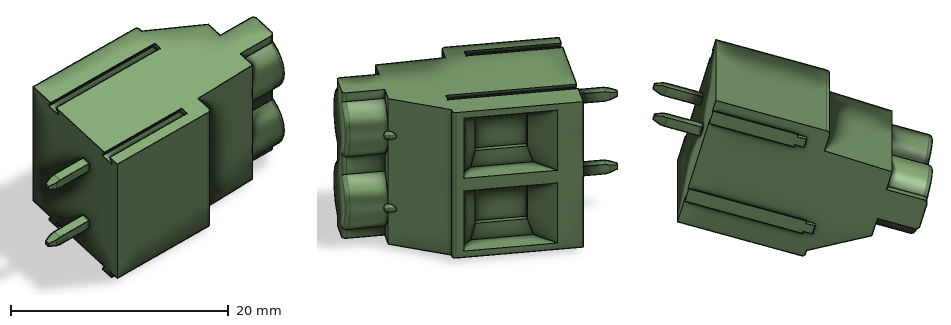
import cadquery as cq


pitch = 7.62
pole_count = 2
height = pole_count * pitch
pole_centers = [(pole + 0.5) * pitch for pole in range(pole_count)]
depth = 12.5
total_length = 26.1
pin_length = 4.6
housing_length = total_length - pin_length

front_step_y = 12.2
front_step_width = 0.63
back_step_y = 11.0
back_step_x = 10.55
shoulder_y = 17.55
shoulder_front_x = 3.73
shoulder_back_x = 10.3
front_corner_radius = 0.31
back_corner_radius = 0.4

collar_x = 7.0
collar_diameter = 6.5
rib_width = 2.98
top_radius = 0.4
bump_radius = 0.42

entry_low_y = 2.4
entry_high_y = 11.15
entry_height = 6.3
throat_low_y = 4.78
throat_high_y = 9.65
throat_height = 3.45
entry_rim_depth = 1.0
entry_taper_depth = 2.0
throat_depth = 2.5
entry_depth = 3.0

pin_x = 7.9
pin_width_x = 0.9
pin_width_z = 1.0
pin_tip_width = 0.42
pin_taper_length_x = 0.73
pin_taper_length_z = 1.17

dovetails = [(3.0, front_step_y), (11.0, 9.03)]
dovetail_neck = 0.8
dovetail_flare_height = 0.45
rail_width = 1.3
rail_height = 0.6
groove_width = 1.33
groove_depth = 0.65
rail_neck_length = 0.9


def make_housing():
    outline = [
        (0, 0),
        (depth, 0),
        (depth, back_step_y),
        (back_step_x, back_step_y),
        (shoulder_back_x, shoulder_y),
        (shoulder_front_x, shoulder_y),
        (front_step_width, front_step_y),
        (0, front_step_y),
    ]
    body = cq.Workplane("XY").polyline(outline).close().extrude(height)
    rounded_corners = [
        ((0, front_step_y), front_corner_radius),
        ((depth, back_step_y), back_corner_radius),
    ]
    for (x, y), radius in rounded_corners:
        corner_edge = cq.selectors.NearestToPointSelector((x, y, height / 2))
        body = body.edges(corner_edge).fillet(radius)
    return body


def make_rib():
    """Rib over the full height, with rounded outer edges."""
    rib_length = housing_length - shoulder_y
    rib = cq.Workplane("XY").box(rib_width, rib_length, height, centered=(True, False, False))
    rib = rib.edges("|Z and >Y").fillet(top_radius)
    return rib.translate((collar_x, shoulder_y, 0))


def cylinder_along_y(x, start_y, z, radius, length):
    start = cq.Workplane("XZ", origin=(x, start_y, z))
    return start.circle(radius).extrude(-length)


def make_collar(z):
    collar_length = housing_length - shoulder_y
    collar = cylinder_along_y(collar_x, shoulder_y, z, collar_diameter / 2, collar_length)
    return collar.faces(">Y").edges().fillet(top_radius)


def make_bump(z):
    """Round-ended stud on the edge between the shoulder and the slope."""
    stud = cylinder_along_y(shoulder_front_x, front_step_y, z, bump_radius, shoulder_y - front_step_y)
    dome = cq.Workplane("XY").sphere(bump_radius).translate((shoulder_front_x, shoulder_y, z))
    return stud.union(dome)


def make_entry(z):
    """Wire entry cavity: the depth profile along Y crossed with the one along Z."""
    side_profile = [
        (0, entry_low_y),
        (throat_depth, throat_low_y),
        (entry_depth, throat_low_y),
        (entry_depth, throat_high_y),
        (throat_depth, throat_high_y),
        (entry_rim_depth, entry_high_y),
        (0, entry_high_y),
    ]
    half_profile = [
        (0, entry_height / 2),
        (entry_taper_depth, entry_height / 2),
        (throat_depth, throat_height / 2),
        (entry_depth, throat_height / 2),
    ]
    height_profile = half_profile + [(x, -half) for x, half in reversed(half_profile)]
    along_y = cq.Workplane("XY").polyline(side_profile).close().extrude(entry_height)
    along_z = cq.Workplane("XZ").polyline(height_profile).close().extrude(-entry_high_y)
    return along_y.translate((0, 0, z - entry_height / 2)).intersect(along_z.translate((0, 0, z)))


def pin_profile(plane, width, taper_length, thickness):
    points = [
        (-width / 2, 0),
        (width / 2, 0),
        (width / 2, taper_length - pin_length),
        (pin_tip_width / 2, -pin_length),
        (-pin_tip_width / 2, -pin_length),
        (-width / 2, taper_length - pin_length),
    ]
    return cq.Workplane(plane).polyline(points).close().extrude(thickness / 2, both=True)


def make_pin(z):
    across_z = cq.Plane(origin=(0, 0, 0), xDir=(0, 0, 1), normal=(-1, 0, 0))
    taper_x = pin_profile("XY", pin_width_x, pin_taper_length_x, pin_width_z)
    taper_z = pin_profile(across_z, pin_width_z, pin_taper_length_z, pin_width_x)
    return taper_x.intersect(taper_z).translate((pin_x, 0, z))


def make_dovetail(x, top_z, width, total_height, length):
    """Dovetail bar hanging from top_z, running from the pin face toward +Y."""
    points = [
        (-dovetail_neck / 2, 0),
        (dovetail_neck / 2, 0),
        (width / 2, -dovetail_flare_height),
        (width / 2, -total_height),
        (-width / 2, -total_height),
        (-width / 2, -dovetail_flare_height),
    ]
    bar = cq.Workplane("XZ").polyline(points).close().extrude(-length)
    return bar.translate((x, 0, top_z))


def make_rail(x, length):
    """Dovetail rail whose far end is narrowed to the neck width."""
    dovetail = make_dovetail(x, 0, rail_width, rail_height, length - rail_neck_length)
    neck = cq.Workplane("XY").box(dovetail_neck, length, rail_height, centered=(True, False, False))
    return dovetail.union(neck.translate((x, 0, -rail_height)))


result = make_housing().union(make_rib())

for center_z in pole_centers:
    result = result.union(make_collar(center_z))
    result = result.union(make_bump(center_z))
    result = result.union(make_pin(center_z))
    result = result.cut(make_entry(center_z))

for center_x, length in dovetails:
    result = result.cut(make_dovetail(center_x, height, groove_width, groove_depth, length))
    result = result.union(make_rail(center_x, length))